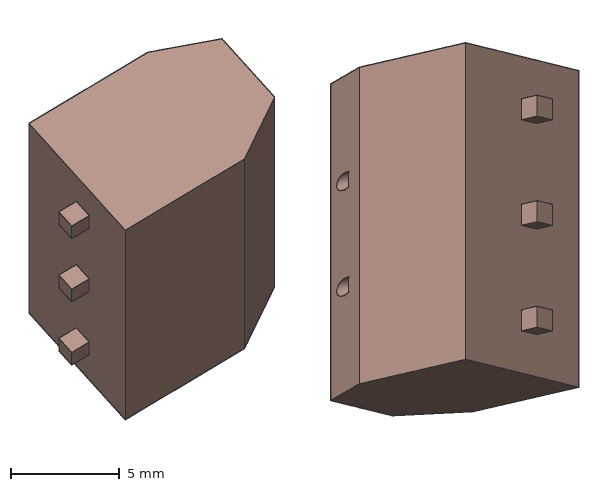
import cadquery as cq

body_width = 7.5
body_depth = 10.0
body_height = 15.0
shoulder_depth = 6.8
left_taper = 1.4
right_taper = 2.0

pin_pitch = 5.0
pin_count = 3
pin_size = 1.0
pin_length = 1.0
pin_x = 0.45

hole_diameter = 0.8
hole_inset = 0.7
hole_floor_depth = 2.0

half_width = body_width / 2
half_height = body_height / 2


def centred_row(count, pitch):
    """Evenly spaced Z positions centred on zero."""
    return [(i - (count - 1) / 2) * pitch for i in range(count)]


def make_body():
    outline = [
        (-half_width, 0),
        (half_width, 0),
        (half_width, shoulder_depth),
        (half_width - right_taper, body_depth),
        (-half_width + left_taper, body_depth),
        (-half_width, shoulder_depth),
    ]
    return cq.Workplane("XY").workplane(offset=-half_height).polyline(outline).close().extrude(body_height)


def make_pin(z):
    return (
        cq.Workplane("XY")
        .box(pin_size, pin_length, pin_size)
        .translate((pin_x, -pin_length / 2, z))
    )


def make_hole(z):
    floor_centre = cq.Vector(-half_width + hole_inset, body_depth - hole_floor_depth, z)
    towards_back = cq.Vector(0, 1, 0)
    return cq.Solid.makeCylinder(hole_diameter / 2, hole_floor_depth, floor_centre, towards_back)


result = make_body()
for pin_z in centred_row(pin_count, pin_pitch):
    result = result.union(make_pin(pin_z))
for hole_z in centred_row(pin_count - 1, pin_pitch):
    result = result.cut(cq.Workplane(obj=make_hole(hole_z)))